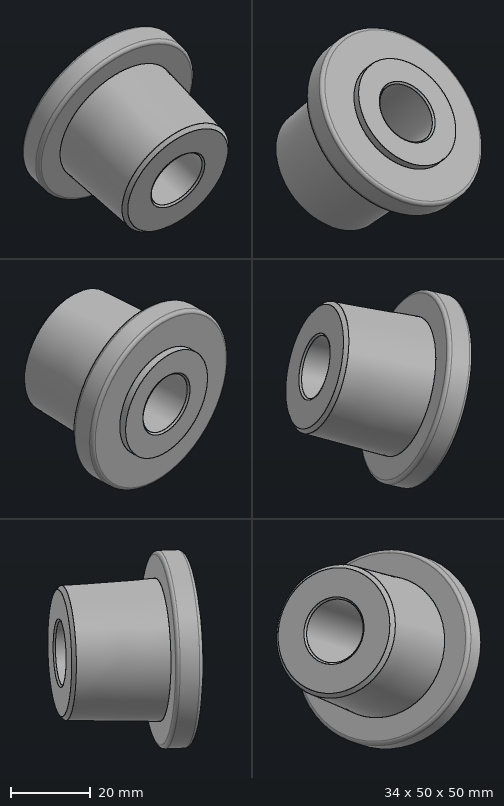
import cadquery as cq

total_length = 34.0
boss_length = 2.0
flange_thickness = 7.0
flange_end = boss_length + flange_thickness

flange_radius = 25.0
flange_fillet = 1.0
boss_radius = 15.0
hub_base_radius = 18.0
hub_tip_radius = 17.0
hub_tip_chamfer = 1.0
bore_radius = 8.1
bore_chamfer = 0.5


def cylinder_along_x(start, length, radius):
    return cq.Workplane("YZ", origin=(start, 0, 0)).circle(radius).extrude(length)


def make_flange():
    flange = cylinder_along_x(boss_length, flange_thickness, flange_radius)
    return flange.edges("%CIRCLE").fillet(flange_fillet)


def make_hub():
    """Cone narrowing away from the flange, with a chamfered tip."""
    hub = (
        cq.Workplane("YZ", origin=(flange_end, 0, 0))
        .circle(hub_base_radius)
        .workplane(offset=total_length - flange_end)
        .circle(hub_tip_radius)
        .loft(ruled=True)
    )
    return hub.faces(">X").edges().chamfer(hub_tip_chamfer)


boss = cylinder_along_x(0, boss_length, boss_radius)
result = boss.union(make_flange()).union(make_hub())

bore = cylinder_along_x(0, total_length, bore_radius)
bore_mouths = cq.selectors.RadiusNthSelector(0)
result = result.cut(bore).faces("<X or >X").edges(bore_mouths).chamfer(bore_chamfer)